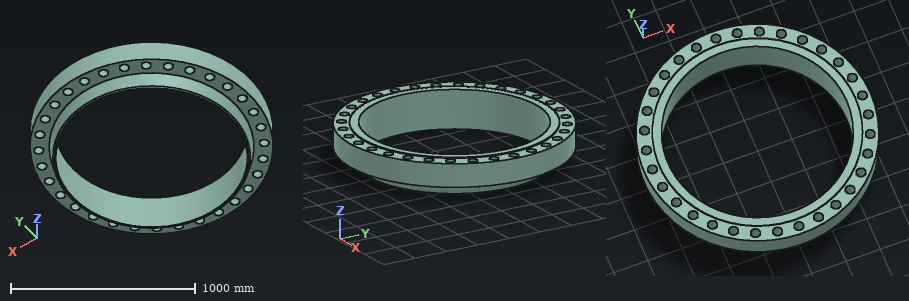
import cadquery as cq

flange_diameter = 1321.0
total_height = 230.0
raised_face_diameter = 1142.0
raised_face_height = 5.0
flange_thickness = 136.0
bore_diameter = 1041.0

hub_top_diameter = 1103.0
hub_bottom_diameter = 1072.0
hub_root_height = 10.0
hub_root_diameter = 1112.0
weld_bevel_height = 8.0
weld_bevel_diameter = 1055.0

bolt_count = 32
bolt_circle_diameter = 1226.0
bolt_hole_diameter = 52.0

flange_top = total_height - raised_face_height
flange_bottom = flange_top - flange_thickness


def flange_body():
    """Revolve the half section of the ring about the Z axis."""
    return (
        cq.Workplane("XZ")
        .moveTo(bore_diameter / 2, 0)
        .lineTo(weld_bevel_diameter / 2, 0)
        .lineTo(hub_bottom_diameter / 2, weld_bevel_height)
        .lineTo(hub_top_diameter / 2, flange_bottom - hub_root_height)
        .lineTo(hub_root_diameter / 2, flange_bottom)
        .lineTo(flange_diameter / 2, flange_bottom)
        .lineTo(flange_diameter / 2, flange_top)
        .lineTo(raised_face_diameter / 2, flange_top)
        .lineTo(raised_face_diameter / 2, total_height)
        .lineTo(bore_diameter / 2, total_height)
        .close()
        .revolve(360, (0, 0, 0), (0, 1, 0))
    )


def bolt_holes():
    """Cutters for the through holes, the first one on the X axis."""
    return (
        cq.Workplane("XY")
        .polarArray(bolt_circle_diameter / 2, 0, 360, bolt_count)
        .circle(bolt_hole_diameter / 2)
        .extrude(total_height)
    )


result = flange_body().cut(bolt_holes())